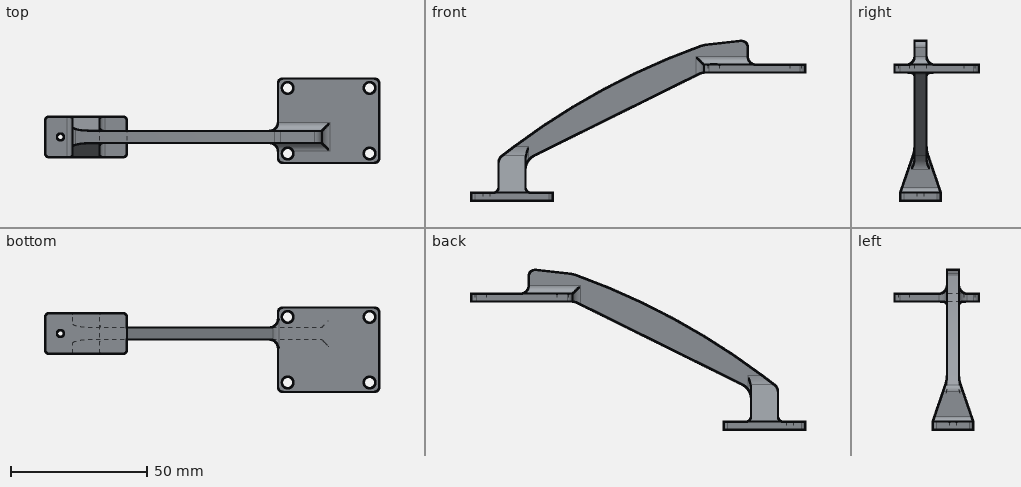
import cadquery as cq
import math

total_length = 122.5
plate_thickness = 3.0

foot_length = 30.0
foot_width = 15.0
foot_corner_radius = 1.5
foot_hole_x = 5.6
foot_hole_diameter = 2.5

pedestal_left = 10.0
pedestal_right = 20.0
pedestal_base_radius = 2.0
neck_z = 18.1
neck_radius = 10.0
neck_end_radius = 1.1

arm_width = 4.5
arm_half = arm_width / 2
arm_right = 101.4
arm_left_top_z = 15.4
arm_top_middle = (47.8, 40.4)
arm_top_bend = (85.1, 57.1)
arm_right_top_z = 58.9
under_start_z = 15.0
under_bend_x = 84.5
arm_left_radius = 3.0
arm_bend_radius = 10.0
arm_tip_radius = 2.5
under_start_radius = 5.8
under_bend_radius = 4.9

mount_length = 37.2
mount_width = 31.0
mount_left = total_length - mount_length
mount_y_min = -9.5
mount_bottom = 46.9
mount_top = mount_bottom + plate_thickness
mount_corner_radius = 2.0
mount_hole_diameter = 4.2
mount_hole_spacing_x = 30.0
mount_hole_spacing_y = 24.0
collar_radius = 3.0

ARC = math.sqrt(0.5)


def extrude_side(sketch, width):
    """Extrude an XZ outline symmetrically about the mid-plane."""
    return sketch.extrude(width / 2, both=True)


def round_edge(body, x, z, radius):
    """Round the edge along Y that passes through (x, z)."""
    return body.edges("|Y").edges(cq.NearestToPointSelector((x, 0, z))).fillet(radius)


def rounded_plate(length, width, corner_radius, x_min, y_min, z_min):
    plate = cq.Workplane("XY").box(length, width, plate_thickness, centered=False)
    return plate.edges("|Z").fillet(corner_radius).translate((x_min, y_min, z_min))


def side_body(width):
    """Arm and pedestal side outline, extruded to the given width."""
    outline = (
        cq.Workplane("XZ")
        .moveTo(pedestal_left, plate_thickness)
        .lineTo(pedestal_left, arm_left_top_z)
        .threePointArc(arm_top_middle, arm_top_bend)
        .lineTo(arm_right, arm_right_top_z)
        .lineTo(arm_right, mount_bottom)
        .lineTo(under_bend_x, mount_bottom)
        .lineTo(pedestal_right, under_start_z)
        .lineTo(pedestal_right, plate_thickness)
        .close()
    )
    body = extrude_side(outline, width)
    for x, z, radius in (
        (pedestal_left, arm_left_top_z, arm_left_radius),
        (*arm_top_bend, arm_bend_radius),
        (arm_right, arm_right_top_z, arm_tip_radius),
        (under_bend_x, mount_bottom, under_bend_radius),
        (pedestal_right, under_start_z, under_start_radius),
    ):
        body = round_edge(body, x, z, radius)
    return body


def base_coves():
    """Concave fillets where the pedestal ends meet the foot."""
    radius = pedestal_base_radius
    top = plate_thickness + radius
    left = pedestal_left - radius
    right = pedestal_right + radius
    outline = (
        cq.Workplane("XZ")
        .moveTo(left, plate_thickness)
        .threePointArc((left + radius * ARC, top - radius * ARC), (pedestal_left, top))
        .lineTo(pedestal_right, top)
        .threePointArc((right - radius * ARC, top - radius * ARC), (right, plate_thickness))
        .close()
    )
    return extrude_side(outline, foot_width)


def pedestal():
    """Tapered sides flow into the arm through the neck rounds."""
    foot_half = foot_width / 2
    length = foot_length
    taper = (
        cq.Workplane("YZ")
        .moveTo(-foot_half, plate_thickness)
        .lineTo(-arm_half, neck_z)
        .lineTo(-arm_half, mount_bottom)
        .lineTo(arm_half, mount_bottom)
        .lineTo(arm_half, neck_z)
        .lineTo(foot_half, plate_thickness)
        .close()
        .extrude(length)
    )
    for y in (-arm_half, arm_half):
        neck_edge = cq.NearestToPointSelector((length / 2, y, neck_z))
        taper = taper.edges("|X").edges(neck_edge).fillet(neck_radius)

    neck_end = pedestal_right + neck_end_radius
    cove_y = arm_half + neck_end_radius
    cove_middle = (neck_end - neck_end_radius * ARC, cove_y - neck_end_radius * ARC)
    plan = (
        cq.Workplane("XY")
        .moveTo(pedestal_left, -foot_half)
        .lineTo(pedestal_right, -foot_half)
        .lineTo(pedestal_right, -cove_y)
        .threePointArc((cove_middle[0], -cove_middle[1]), (neck_end, -arm_half))
        .lineTo(neck_end, arm_half)
        .threePointArc(cove_middle, (pedestal_right, cove_y))
        .lineTo(pedestal_right, foot_half)
        .lineTo(pedestal_left, foot_half)
        .close()
        .extrude(mount_bottom)
    )
    post = side_body(foot_width).intersect(plan)
    return post.union(base_coves()).intersect(taper)


def mount_collar():
    """Mitred coves around the arm, on top of and beside the mounting plate."""
    radius = collar_radius
    inset = radius * ARC
    half = arm_half + radius
    top = mount_top + radius
    left = mount_left - radius
    right = arm_right + radius
    under_slope = (mount_bottom - under_start_z) / (under_bend_x - pedestal_right)
    under_left_z = mount_bottom - (under_bend_x - left) * under_slope

    across = (
        cq.Workplane("YZ")
        .moveTo(-half, 0)
        .lineTo(-half, mount_top)
        .threePointArc((-half + inset, top - inset), (-arm_half, top))
        .lineTo(arm_half, top)
        .threePointArc((half - inset, top - inset), (half, mount_top))
        .lineTo(half, 0)
        .close()
        .extrude(total_length)
    )
    plan = (
        cq.Workplane("XY")
        .moveTo(left, -arm_half)
        .threePointArc((left + inset, -half + inset), (mount_left, -half))
        .lineTo(right, -half)
        .lineTo(right, half)
        .lineTo(mount_left, half)
        .threePointArc((left + inset, half - inset), (left, arm_half))
        .close()
        .extrude(top)
    )
    side = extrude_side(
        cq.Workplane("XZ")
        .moveTo(left, under_left_z)
        .lineTo(left, top)
        .lineTo(arm_right, top)
        .threePointArc((right - inset, top - inset), (right, mount_top))
        .lineTo(right, mount_bottom)
        .lineTo(under_bend_x, mount_bottom)
        .close(),
        2 * half,
    )
    side = round_edge(side, under_bend_x, mount_bottom, under_bend_radius)
    return across.intersect(plan).intersect(side)


def mount_holes():
    center_x = mount_left + mount_length / 2
    center_y = mount_y_min + mount_width / 2
    return (
        cq.Workplane("XY")
        .center(center_x, center_y)
        .rarray(mount_hole_spacing_x, mount_hole_spacing_y, 2, 2)
        .circle(mount_hole_diameter / 2)
        .extrude(arm_right_top_z)
    )


def foot_hole():
    return (
        cq.Workplane("XY")
        .center(foot_hole_x, 0)
        .circle(foot_hole_diameter / 2)
        .extrude(plate_thickness)
    )


foot = rounded_plate(foot_length, foot_width, foot_corner_radius, 0, -foot_width / 2, 0)
mount = rounded_plate(
    mount_length, mount_width, mount_corner_radius, mount_left, mount_y_min, mount_bottom
)

result = foot.union(pedestal()).union(side_body(arm_width))
result = result.union(mount).union(mount_collar())
result = result.cut(mount_holes()).cut(foot_hole())